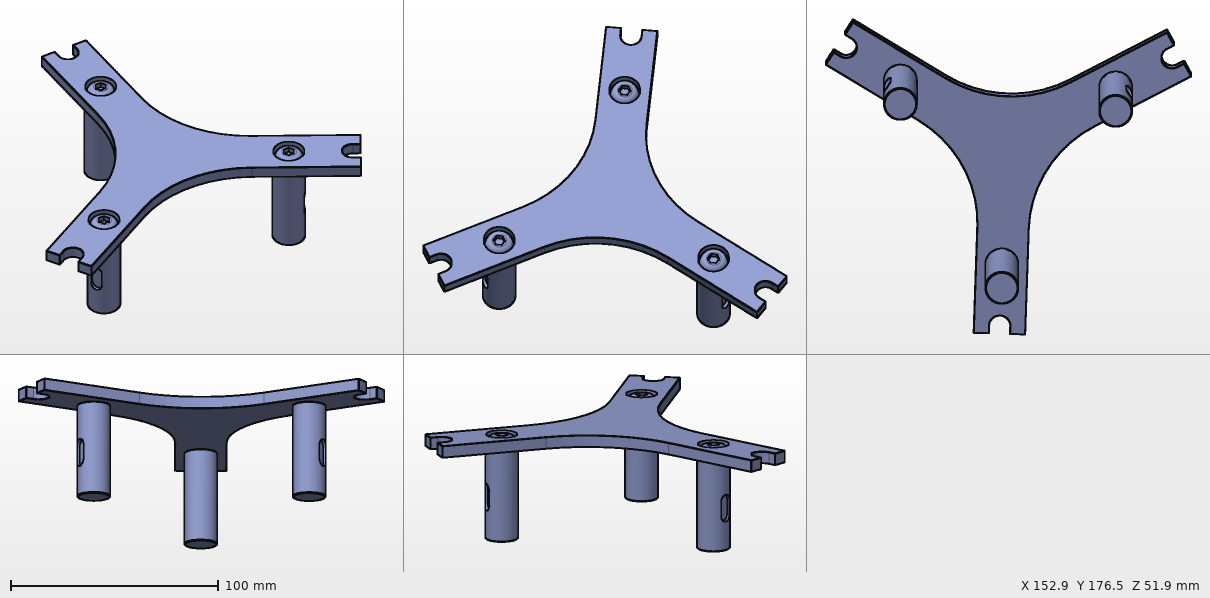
import cadquery as cq
import math

ARM_ANGLES = (60, 180, 300)
overall_width = 176.5
post_radius_from_axis = 60.0

plate_thickness = 6.0
arm_width = 25.0
edge_chamfer = 0.26
web_radius = 60.0

notch_width = 10.0
notch_depth = 9.0

counterbore_diameter = 15.0
counterbore_depth = 4.5
clearance_diameter = 8.5
head_diameter = 14.0
head_height = 4.2
head_flat_diameter = 7.0
head_rim_height = 0.5
dome_angle = math.radians(50)
socket_across_flats = 5.0
socket_depth = 2.5
shank_diameter = 8.0
shank_reach = 10.6

post_diameter = 16.0
post_length = 45.9
post_chamfer = 0.5
pocket_width = 6.0
pocket_height = 13.5
pocket_depth = 2.0
pocket_center_z = -24.7

half_angle = math.radians(60)
arm_length = (
    overall_width + edge_chamfer - arm_width * math.cos(half_angle)
) / (2 * math.sin(half_angle))


def place_on_arm(shape, angle):
    """Turn a shape modelled along +X onto the arm at the given angle."""
    return shape.rotate((0, 0, 0), (0, 0, 1), angle)


def notch_cutter():
    """Notch of one arm, modelled along +X."""
    round_center = arm_length - notch_depth + notch_width / 2
    round_end = (
        cq.Workplane("XY").center(round_center, 0)
        .circle(notch_width / 2).extrude(plate_thickness)
    )
    throat_length = arm_length - round_center
    throat = cq.Workplane("XY").box(
        throat_length, notch_width, plate_thickness, centered=(False, True, False)
    ).translate((round_center, 0, 0))
    return throat.union(round_end)


def screw_hole_cutter():
    """Clearance hole with counterbore of one arm, modelled along +X."""
    clearance = (
        cq.Workplane("XY").center(post_radius_from_axis, 0)
        .circle(clearance_diameter / 2).extrude(plate_thickness)
    )
    counterbore = (
        cq.Workplane("XY", origin=(0, 0, plate_thickness - counterbore_depth))
        .center(post_radius_from_axis, 0)
        .circle(counterbore_diameter / 2).extrude(counterbore_depth)
    )
    return clearance.union(counterbore)


def make_arm():
    """Plain square-ended arm along +X."""
    return cq.Workplane("XY").box(
        arm_length, arm_width, plate_thickness, centered=(False, True, False)
    )


def make_web():
    """Three-sided hub between the arms, its sides concave arcs tangent to the arm sides."""
    blend_center_distance = (arm_width / 2 + web_radius) / math.sin(half_angle)
    tangent_x = blend_center_distance * math.cos(half_angle)
    arc_middle_distance = blend_center_distance - web_radius
    corner_reach = math.hypot(tangent_x, arm_width / 2)
    corner_swing = math.atan2(arm_width / 2, tangent_x)

    def polar(radius, angle):
        return (radius * math.cos(angle), radius * math.sin(angle))

    first = math.radians(ARM_ANGLES[0])
    outline = cq.Workplane("XY").moveTo(*polar(corner_reach, first - corner_swing))
    for degrees in ARM_ANGLES:
        arm = math.radians(degrees)
        next_arm = arm + 2 * half_angle
        outline = outline.lineTo(*polar(corner_reach, arm + corner_swing))
        outline = outline.threePointArc(
            polar(arc_middle_distance, arm + half_angle),
            polar(corner_reach, next_arm - corner_swing),
        )
    return outline.close().extrude(plate_thickness)


def arm_end_corners(angle):
    """Selector for the four upright edges on the end face of one arm."""
    outward = cq.Vector(math.cos(math.radians(angle)), math.sin(math.radians(angle)), 0)
    upright = cq.selectors.ParallelDirSelector(cq.Vector(0, 0, 1))
    outermost = cq.selectors.DirectionMinMaxSelector(outward, True)
    return upright & outermost


def make_plate():
    plate = make_web()
    for angle in ARM_ANGLES:
        plate = plate.union(place_on_arm(make_arm(), angle))
    for angle in ARM_ANGLES:
        plate = plate.cut(place_on_arm(notch_cutter(), angle))
    for angle in ARM_ANGLES:
        plate = plate.edges(arm_end_corners(angle)).chamfer(edge_chamfer)
    plate = plate.faces("<Z or >Z").edges().chamfer(edge_chamfer)
    for angle in ARM_ANGLES:
        plate = plate.cut(place_on_arm(screw_hole_cutter(), angle))
    return plate


def make_post():
    """Post below the plate, with a screw hole on top and a round-ended pocket facing outwards."""
    post = (
        cq.Workplane("XY").circle(post_diameter / 2).extrude(-post_length)
        .faces("<Z or >Z").chamfer(post_chamfer)
    )
    screw_hole = cq.Workplane("XY").circle(shank_diameter / 2).extrude(-shank_reach)
    pocket_floor_x = post_diameter / 2 - pocket_depth
    pocket = (
        cq.Workplane("YZ", origin=(pocket_floor_x, 0, pocket_center_z))
        .slot2D(pocket_height, pocket_width, 90).extrude(post_diameter)
    )
    return post.cut(screw_hole).cut(pocket).translate((post_radius_from_axis, 0, 0))


def make_screw():
    """Button-head screw seated on the counterbore floor, with a hexagon socket."""
    seat_z = plate_thickness - counterbore_depth
    top_z = seat_z + head_height
    rim_z = seat_z + head_rim_height
    head_radius = head_diameter / 2
    flat_radius = head_flat_diameter / 2
    dome_middle = (
        flat_radius + (head_radius - flat_radius) * math.sin(dome_angle),
        rim_z + (top_z - rim_z) * math.cos(dome_angle),
    )
    screw = (
        cq.Workplane("XZ")
        .moveTo(0, -shank_reach)
        .lineTo(shank_diameter / 2, -shank_reach)
        .lineTo(shank_diameter / 2, seat_z)
        .lineTo(head_radius, seat_z)
        .lineTo(head_radius, rim_z)
        .threePointArc(dome_middle, (flat_radius, top_z))
        .lineTo(0, top_z)
        .close()
        .revolve(360, (0, 0, 0), (0, 1, 0))
    )
    socket = (
        cq.Workplane("XY", origin=(0, 0, top_z))
        .polygon(6, socket_across_flats, circumscribed=True).extrude(-socket_depth)
    )
    return screw.cut(socket).translate((post_radius_from_axis, 0, 0))


plate = make_plate()
posts = [place_on_arm(make_post(), angle) for angle in ARM_ANGLES]
screws = [place_on_arm(make_screw(), angle) for angle in ARM_ANGLES]

result = cq.Compound.makeCompound(
    [plate.val()]
    + [post.val() for post in posts]
    + [screw.val() for screw in screws]
)